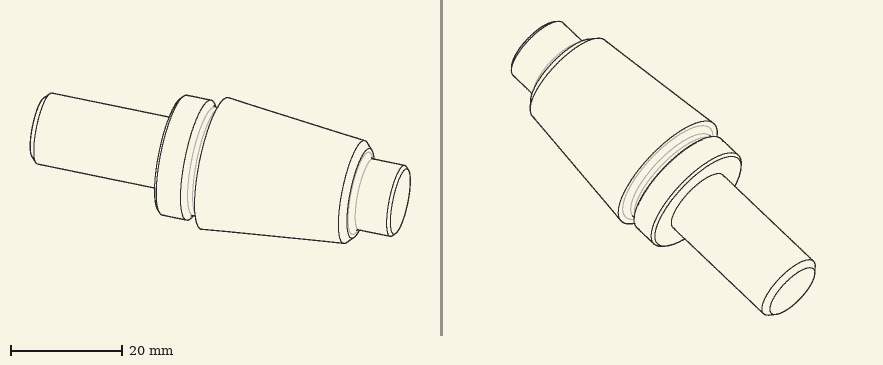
import cadquery as cq
import math

total_length = 68.0
shank_length = 25.0
collar_width = 5.0
groove_width = 3.0
taper_length = 26.25
nose_chamfer = 1.2

shank_radius = 6.5
collar_radius = 11.0
taper_large_radius = 12.1
taper_small_radius = 9.45
tip_radius = 6.5

shank_chamfer = 1.0
collar_chamfer = 0.5
groove_corner_radius = 1.0
tip_fillet = 1.0
tip_chamfer = 0.55

x_shank = -total_length / 2
x_tip = total_length / 2
x_collar = x_shank + shank_length
x_groove = x_collar + collar_width
x_taper = x_groove + groove_width
x_nose = x_taper + taper_length
x_shoulder = x_nose + nose_chamfer
groove_radius = collar_radius - groove_corner_radius
shoulder_radius = taper_small_radius - nose_chamfer

quarter_mid = 1 - math.sqrt(0.5)
groove_mid = groove_corner_radius * quarter_mid
fillet_mid = tip_fillet * quarter_mid

profile = (
    cq.Workplane("XY")
    .moveTo(x_shank, 0)
    .lineTo(x_shank, shank_radius - shank_chamfer)
    .lineTo(x_shank + shank_chamfer, shank_radius)
    .lineTo(x_collar, shank_radius)
    .lineTo(x_collar, collar_radius - collar_chamfer)
    .lineTo(x_collar + collar_chamfer, collar_radius)
    .lineTo(x_groove, collar_radius)
    .threePointArc(
        (x_groove + groove_mid, groove_radius + groove_mid),
        (x_groove + groove_corner_radius, groove_radius),
    )
    .lineTo(x_taper - groove_corner_radius, groove_radius)
    .threePointArc(
        (x_taper - groove_mid, groove_radius + groove_mid),
        (x_taper, collar_radius),
    )
    .lineTo(x_taper, taper_large_radius)
    .lineTo(x_nose, taper_small_radius)
    .lineTo(x_shoulder, shoulder_radius)
    .lineTo(x_shoulder, tip_radius + tip_fillet)
    .threePointArc(
        (x_shoulder + fillet_mid, tip_radius + fillet_mid),
        (x_shoulder + tip_fillet, tip_radius),
    )
    .lineTo(x_tip - tip_chamfer, tip_radius)
    .lineTo(x_tip, tip_radius - tip_chamfer)
    .lineTo(x_tip, 0)
    .close()
)

result = profile.revolve(360, (0, 0, 0), (1, 0, 0))